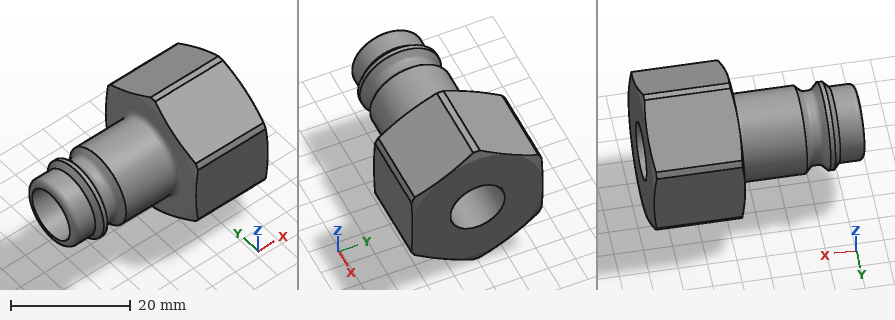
import cadquery as cq
import math

TOTAL_LENGTH = 37.0
HEX_LENGTH = 15.5
ACROSS_FLATS = 24.0
ACROSS_CORNERS = 27.05
HEX_CHAMFER_LENGTH = 0.45

BORE_DIAMETER = 10.0
NOSE_DIAMETER = 13.0
BARREL_DIAMETER = 15.0
GROOVE_DIAMETER = 12.65
EDGE_RADIUS = 1.0
COLLAR_CONE_START = 4.3
COLLAR_WIDTH = 0.8
GROOVE_FLOOR_WIDTH = 0.85

hex_start = TOTAL_LENGTH - HEX_LENGTH
bore_radius = BORE_DIAMETER / 2
nose_radius = NOSE_DIAMETER / 2
barrel_radius = BARREL_DIAMETER / 2
groove_radius = GROOVE_DIAMETER / 2
flat_radius = ACROSS_FLATS / 2
corner_radius = ACROSS_CORNERS / 2

collar_start = COLLAR_CONE_START + barrel_radius - nose_radius
collar_end = collar_start + COLLAR_WIDTH

DIAGONAL = math.sqrt(0.5)
HALF_DIAGONAL_ANGLE = math.radians(22.5)
fillet_length = EDGE_RADIUS * DIAGONAL
fillet_top_radius = groove_radius + EDGE_RADIUS * (1 - DIAGONAL)
fillet_mid_length = EDGE_RADIUS * math.sin(HALF_DIAGONAL_ANGLE)
fillet_mid_radius = groove_radius + EDGE_RADIUS * (1 - math.cos(HALF_DIAGONAL_ANGLE))
groove_cone_length = barrel_radius - fillet_top_radius
front_fillet_start = collar_end + groove_cone_length
floor_start = front_fillet_start + fillet_length
floor_end = floor_start + GROOVE_FLOOR_WIDTH
rear_fillet_end = floor_end + fillet_length
barrel_start = rear_fillet_end + groove_cone_length


def revolve_about_x(profile):
    return profile.close().revolve(360, (0, 0, 0), (1, 0, 0))


def make_spigot():
    """Turned spigot with a rounded nose, collar, groove and filleted shoulder."""
    arc_inset = EDGE_RADIUS * (1 - DIAGONAL)
    shoulder_radius = barrel_radius + EDGE_RADIUS
    profile = (
        cq.Workplane("XY")
        .lineTo(0, nose_radius - EDGE_RADIUS)
        .threePointArc((arc_inset, nose_radius - arc_inset), (EDGE_RADIUS, nose_radius))
        .lineTo(COLLAR_CONE_START, nose_radius)
        .lineTo(collar_start, barrel_radius)
        .lineTo(collar_end, barrel_radius)
        .lineTo(front_fillet_start, fillet_top_radius)
        .threePointArc((floor_start - fillet_mid_length, fillet_mid_radius), (floor_start, groove_radius))
        .lineTo(floor_end, groove_radius)
        .threePointArc(
            (floor_end + fillet_mid_length, fillet_mid_radius),
            (rear_fillet_end, fillet_top_radius),
        )
        .lineTo(barrel_start, barrel_radius)
        .lineTo(hex_start - EDGE_RADIUS, barrel_radius)
        .threePointArc((hex_start - arc_inset, barrel_radius + arc_inset), (hex_start, shoulder_radius))
        .lineTo(hex_start, 0)
    )
    return revolve_about_x(profile)


def make_hexagon():
    """Hexagon with corners up and down, rounded and chamfered by a turned envelope."""
    prism = (
        cq.Workplane("YZ", origin=(hex_start, 0, 0))
        .polygon(6, ACROSS_FLATS, circumscribed=True)
        .extrude(HEX_LENGTH)
    )
    envelope = revolve_about_x(
        cq.Workplane("XY")
        .moveTo(hex_start, 0)
        .lineTo(hex_start, flat_radius)
        .lineTo(hex_start + HEX_CHAMFER_LENGTH, corner_radius)
        .lineTo(TOTAL_LENGTH - HEX_CHAMFER_LENGTH, corner_radius)
        .lineTo(TOTAL_LENGTH, flat_radius)
        .lineTo(TOTAL_LENGTH, 0)
    )
    return prism.intersect(envelope)


def make_fitting():
    """Spigot and hexagon in one piece, with a bore right through."""
    bore = cq.Workplane("YZ").circle(bore_radius).extrude(TOTAL_LENGTH)
    return make_spigot().union(make_hexagon()).cut(bore)


fitting = make_fitting()

result = cq.Compound.makeCompound([fitting.val()])